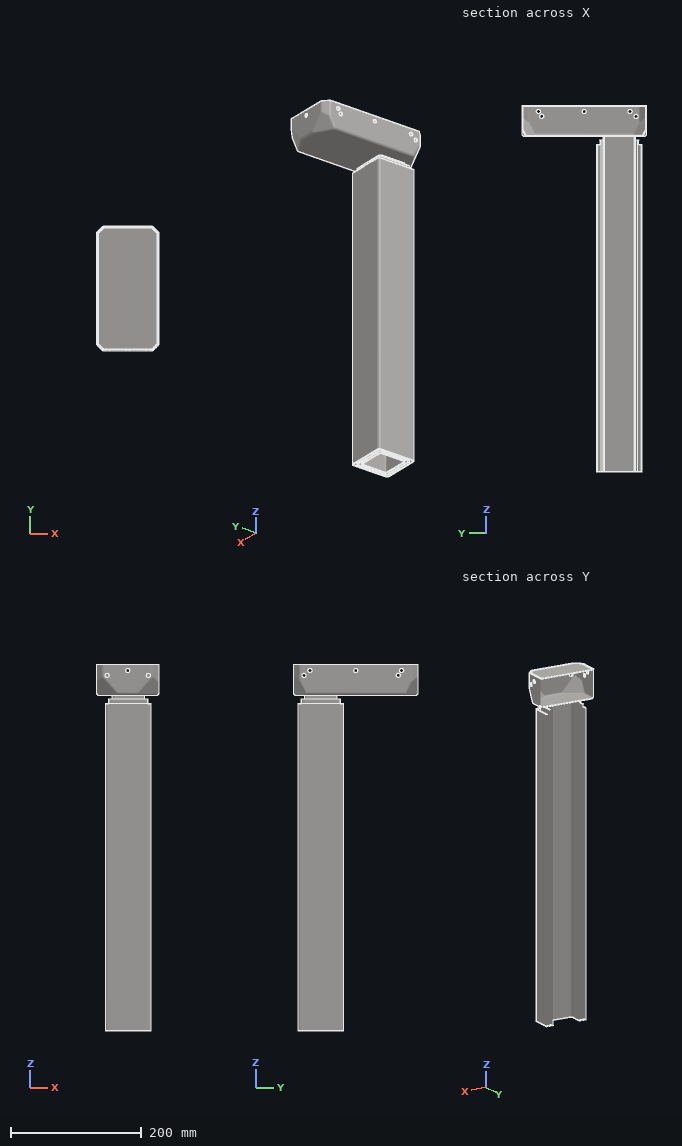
import cadquery as cq
import math

total_height = 560.0
housing_width = 96.0
housing_length = 190.75
housing_height = 48.0
housing_wall = 2.0
leg_to_housing_end = 42.0
leg_offset_x = 0.75

bend_radius = 5.0
corner_chamfer = 10.0
bevel_apex_depth = 8.0
bevel_slope_x = 1.13
bevel_slope_y = 1.99

lid_thickness = 2.0
lid_gap = 1.0

hole_diameter = 6.0
end_hole_diameter = 6.5
upper_hole_depth = 9.5
lower_hole_depth = 17.0
upper_hole_pitch = 70.0
lower_hole_offsets = (65.0, -79.0)
end_hole_offset = 31.5

outer_tube_width = 70.0
tube_width_step = 10.0
tube_wall = 2.0
tube_corner_radius = 4.5
outer_tube_top = 500.0
middle_tube_top = 507.0

housing_bottom = total_height - housing_height
housing_center_y = housing_length / 2 - leg_to_housing_end
lid_inset = housing_wall + lid_gap
middle_tube_width = outer_tube_width - tube_width_step
inner_tube_width = middle_tube_width - tube_width_step


def block(width, length, bottom, top):
    """Upright block centred on the housing axis."""
    return (
        cq.Workplane("XY", origin=(0, housing_center_y, bottom))
        .rect(width, length)
        .extrude(top - bottom)
    )


def inset_chamfer(inset):
    """Leg of the 45 degree corner chamfer on the outline moved inward by inset."""
    return corner_chamfer - inset * (2 - math.sqrt(2))


def corner_bevel(inset, side_x, side_y):
    """Tetrahedron that cuts one lower housing corner, with its plane moved inward by inset."""
    normal_length = math.sqrt(bevel_slope_x**2 + bevel_slope_y**2 + 1)
    apex_depth = bevel_apex_depth + inset * (bevel_slope_x + bevel_slope_y - normal_length)
    drop = 2 * housing_height
    corner_x = side_x * (housing_width / 2 - inset)
    corner_y = housing_center_y + side_y * (housing_length / 2 - inset)
    apex = cq.Vector(corner_x, corner_y, total_height - apex_depth)
    base = apex - cq.Vector(0, 0, drop)
    along_x = base - cq.Vector(side_x * drop / bevel_slope_x, 0, 0)
    along_y = base - cq.Vector(0, side_y * drop / bevel_slope_y, 0)
    triangles = [
        (base, along_x, along_y),
        (apex, base, along_x),
        (apex, base, along_y),
        (apex, along_x, along_y),
    ]
    faces = [cq.Face.makeFromWires(cq.Wire.makePolygon(t, close=True)) for t in triangles]
    return cq.Solid.makeSolid(cq.Shell.makeShell(faces))


def housing_form(inset):
    """Solid housing form with all its walls moved inward by inset."""
    form = block(
        housing_width - 2 * inset, housing_length - 2 * inset, housing_bottom + inset, total_height
    )
    form = form.edges("|Z").chamfer(inset_chamfer(inset))
    for side_x in (-1, 1):
        for side_y in (-1, 1):
            form = form.cut(cq.Workplane(obj=corner_bevel(inset, side_x, side_y)))
    return form.edges("not >Z").fillet(bend_radius - inset)


def side_holes():
    """Pins for the holes that run across both long sides."""
    spots = [(y, upper_hole_depth) for y in (-upper_hole_pitch, 0, upper_hole_pitch)]
    spots += [(y, lower_hole_depth) for y in lower_hole_offsets]
    return (
        cq.Workplane("YZ", origin=(0, housing_center_y, total_height))
        .pushPoints([(y, -depth) for y, depth in spots])
        .circle(hole_diameter / 2)
        .extrude(housing_width, both=True)
    )


def end_holes():
    """Pins for the centre hole through both ends and the two larger holes in the -Y end."""
    ends = cq.Workplane("XZ", origin=(0, housing_center_y, total_height))
    through = (
        ends.center(0, -upper_hole_depth).circle(hole_diameter / 2).extrude(housing_length, both=True)
    )
    front = (
        ends.pushPoints([(x, -lower_hole_depth) for x in (-end_hole_offset, end_hole_offset)])
        .circle(end_hole_diameter / 2)
        .extrude(housing_length)
    )
    return through.add(front).combine()


def make_housing():
    """Open-topped shell with bent corners."""
    shell = housing_form(0).cut(housing_form(housing_wall))
    return shell.cut(side_holes()).cut(end_holes())


def make_lid():
    """Flat plate inside the mouth of the housing, flush with its rim and clear of its walls."""
    plate = block(
        housing_width - 2 * lid_inset,
        housing_length - 2 * lid_inset,
        total_height - lid_thickness,
        total_height,
    )
    plate = plate.edges("|Z").chamfer(inset_chamfer(lid_inset))
    return plate.edges("|Z").fillet(bend_radius - lid_inset)


def square_bar(width, height, corner_radius):
    """Square bar on the leg axis with rounded corners, standing on the floor."""
    bar = cq.Workplane("XY").center(leg_offset_x, 0).rect(width, width).extrude(height)
    return bar.edges("|Z").fillet(corner_radius)


def make_leg_section(width, top):
    """Square leg tube that stands on the floor inside the next larger one."""
    bore = square_bar(width - 2 * tube_wall, top, tube_corner_radius - tube_wall)
    return square_bar(width, top, tube_corner_radius).cut(bore)


housing = make_housing()
lid = make_lid()
outer_tube = make_leg_section(outer_tube_width, outer_tube_top)
middle_tube = make_leg_section(middle_tube_width, middle_tube_top)
inner_tube = make_leg_section(inner_tube_width, housing_bottom)

result = cq.Compound.makeCompound(
    [housing.val(), lid.val(), outer_tube.val(), middle_tube.val(), inner_tube.val()]
)